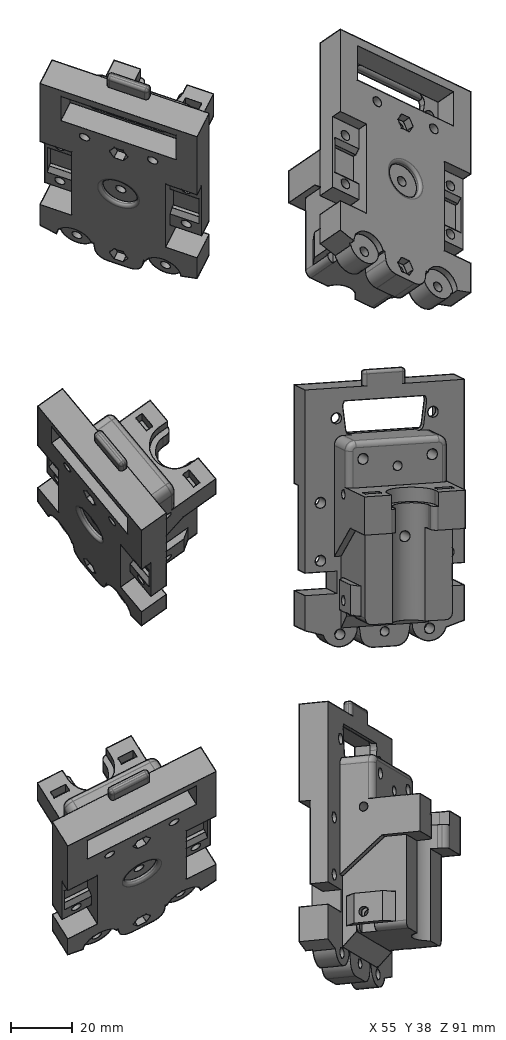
import cadquery as cq
import math


plate_width = 55.0
plate_thick = 10.1
plate_top = 86.0
half_plate = plate_width / 2
spine_half = 16.5
notch_low, notch_high = 18.5, 25.8
wing_top = 53.6
wing_front = 3.8

foot_z = 6.9
foot_slope = math.radians(16.5)
ear_x = 15.5
ear_radius = 6.0
lobe_top_half, lobe_bottom_half = 8.7, 7.7
lobe_radius = 4.55
ear_hole_z = 5.0
ear_hole = 3.5
ear_recess_radius = 6.3
ear_recess_depth = 2.3

tab_width, tab_thick, tab_height = 14.6, 3.0, 5.0
tab_round = 1.1

pocket_width = 40.3
pocket_low, pocket_high = 69.25, 82.7
pocket_depth = 7.7
opening_low = 70.25
opening_low_half, opening_high_half = 13.2, 14.8
opening_low_round, opening_high_round = 2.0, 2.9
lip_round = 1.2
screw_hole = 3.55
connector_screw_x, connector_screw_z = 16.65, 76.0

dish_z = 39.4
dish_radius, dish_depth, dish_round = 6.2, 1.9, 1.1

upper_screw_x, upper_screw_z = 11.9, 64.4
wing_screw_x = 22.1
wing_screw_heights = (29.6, 48.6)
hex_flats, hex_depth, hex_hole = 5.55, 3.0, 3.1
hex_heights = (ear_hole_z, 61.4)

wing_pocket_x = 26.5
wing_pocket_low, wing_pocket_high = 32.0, 45.9
wing_pocket_slope, wing_pocket_depth = 1.55, 2.7

block_half = 17.4
box_back = 22.0
box_top = opening_low
box_top_round, box_back_round = 3.1, 2.0
clamp_back = 38.0
clamp_low, clamp_top = 42.5, 55.1
brace_z, brace_y = 30.7, 24.8

cradle_y = 34.6
cradle_radius, seat_radius = 6.1, 8.1
seat_depth = 4.7
cradle_round = 1.9
tie_slot_x, tie_slot_y = 12.5, 31.85
tie_slot_width, tie_slot_thick, tie_slot_depth = 5.6, 2.55, 5.5

body_half, body_back, body_low = 15.0, 32.3, 11.8
body_round = 2.2
body_front_low = 15.0
brace_low = 7.1
pad_front, pad_back, pad_slope = 11.5, 28.6, 3.55
pad_low, pad_high = body_low + body_round, 23.9

side_hole_y = 18.4
side_hole_depth = 7.3
clamp_hole_z, clamp_hole = 52.5, 3.0
pad_hole_z, pad_hole = 17.65, 3.2
nut_slot_y, nut_slot_width, nut_slot_thick = 18.6, 5.3, 2.55
nut_slot_inner = body_half - body_round
nut_slot_top = pad_hole_z + nut_slot_width / 2


def block(x0, x1, y0, y1, z0, z1):
    return cq.Workplane("XY").box(x1 - x0, y1 - y0, z1 - z0, centered=False).translate((x0, y0, z0))


def both_sides(shape):
    """The shape together with its mirror image across X = 0."""
    return shape.union(shape.mirror("YZ"))


def front_sketch(y=0.0):
    """A sketch plane facing +Y, with X to the right and Z up."""
    return cq.Workplane("XZ", origin=(0, y, 0))


def along_y(sketch, depth):
    """Extrude a front sketch towards +Y."""
    return sketch.extrude(-depth)


def y_hole(x, z, diameter, y=0.0, depth=clamp_back):
    return along_y(front_sketch(y).center(x, z).circle(diameter / 2), depth)


def side_profile(points, half_width):
    """Extrude a Y-Z outline symmetrically about X = 0."""
    return cq.Workplane("YZ").polyline(points).close().extrude(half_width, both=True)


def make_plate():
    plate = block(-half_plate, half_plate, 0, plate_thick, foot_z, plate_top)

    wing_gap = both_sides(block(spine_half, half_plate, 0, wing_front, notch_high, wing_top))
    open_notch = both_sides(block(spine_half, half_plate, 0, plate_thick, notch_low, notch_high))
    plate = plate.cut(wing_gap).cut(open_notch)

    ear = y_hole(ear_x, foot_z, 2 * ear_radius, depth=plate_thick)
    slope_run = half_plate - ear_x
    shoulder = along_y(
        front_sketch()
        .moveTo(half_plate, foot_z)
        .lineTo(ear_x, foot_z)
        .lineTo(ear_x, foot_z - slope_run * math.tan(foot_slope))
        .close(),
        plate_thick,
    )
    lobe = along_y(
        front_sketch()
        .polyline(
            [
                (-lobe_bottom_half, 0),
                (lobe_bottom_half, 0),
                (lobe_top_half, foot_z),
                (-lobe_top_half, foot_z),
            ]
        )
        .close(),
        plate_thick,
    )
    lobe = lobe.edges("|Y and <Z").fillet(lobe_radius)
    return plate.union(both_sides(ear)).union(both_sides(shoulder)).union(lobe)


def make_tab():
    tab = block(-tab_width / 2, tab_width / 2, plate_thick - tab_thick, plate_thick,
                plate_top, plate_top + tab_height)
    return tab.edges("|Z or >Z").fillet(tab_round)


def make_box():
    box = block(-block_half, block_half, plate_thick, box_back, clamp_top, box_top)
    box = box.edges("|Y and >Z").fillet(box_top_round)
    return box.faces(">Y").edges("not <Z").fillet(box_back_round)


def make_clamp():
    return side_profile(
        [
            (plate_thick, brace_z),
            (brace_y, clamp_low),
            (clamp_back, clamp_low),
            (clamp_back, clamp_top),
            (plate_thick, clamp_top),
        ],
        block_half,
    )


def make_lower_body():
    body = block(-body_half, body_half, plate_thick, body_back, body_low, clamp_low)
    body = body.edges("|Y and <Z").fillet(body_round)
    foot_brace = side_profile(
        [
            (plate_thick, brace_low),
            (body_front_low, body_low),
            (body_front_low, clamp_low),
            (plate_thick, clamp_low),
        ],
        body_half,
    )
    pad = (
        cq.Workplane("XY", origin=(0, 0, pad_low))
        .polyline(
            [
                (body_half, pad_front),
                (block_half, pad_front + pad_slope),
                (block_half, pad_back - pad_slope),
                (body_half, pad_back),
            ]
        )
        .close()
        .extrude(pad_high - pad_low)
    )
    return body.union(foot_brace).union(both_sides(pad))


def connector_opening():
    pocket = block(-pocket_width / 2, pocket_width / 2, 0, pocket_depth, pocket_low, pocket_high)
    opening = along_y(
        front_sketch(pocket_depth)
        .polyline(
            [
                (-opening_low_half, opening_low),
                (opening_low_half, opening_low),
                (opening_high_half, pocket_high),
                (-opening_high_half, pocket_high),
            ]
        )
        .close(),
        plate_thick - pocket_depth,
    )
    opening = opening.edges("|Y and <Z").fillet(opening_low_round)
    opening = opening.edges("|Y and >Z").fillet(opening_high_round)
    lip_reach = lip_round * math.sqrt(0.5)
    lip = (
        cq.Workplane("YZ")
        .moveTo(pocket_depth, pocket_high)
        .threePointArc(
            (pocket_depth + lip_round - lip_reach, pocket_high - lip_reach),
            (pocket_depth + lip_round, pocket_high - lip_round),
        )
        .lineTo(plate_thick, pocket_high - lip_round)
        .lineTo(plate_thick, pocket_high)
        .close()
        .extrude(opening_high_half, both=True)
    )
    screws = both_sides(y_hole(connector_screw_x, connector_screw_z, screw_hole, depth=plate_thick))
    return pocket.union(opening.cut(lip)).union(screws)


def dish():
    recess = y_hole(0, dish_z, 2 * dish_radius, depth=dish_depth)
    rim = y_hole(0, dish_z, 2 * (dish_radius + dish_round), depth=dish_round)
    ring = (
        cq.Workplane("XY", origin=(0, 0, dish_z))
        .center(dish_radius + dish_round, dish_round)
        .circle(dish_round)
        .revolve(360, (-dish_radius - dish_round, 0), (-dish_radius - dish_round, 1))
    )
    return recess.union(rim.cut(ring)).union(y_hole(0, dish_z, screw_hole))


def nut_hole(z):
    pocket = along_y(
        front_sketch().center(0, z).polygon(6, hex_flats / math.cos(math.pi / 6)), hex_depth
    )
    return pocket.union(y_hole(0, z, hex_hole))


def wing_pocket():
    floor = wing_front + wing_pocket_depth
    slope_end = wing_front + wing_pocket_slope
    profile = [
        (wing_front, wing_pocket_low),
        (slope_end, wing_pocket_low + wing_pocket_slope),
        (floor, wing_pocket_low + wing_pocket_slope),
        (floor, wing_pocket_high - wing_pocket_slope),
        (slope_end, wing_pocket_high - wing_pocket_slope),
        (wing_front, wing_pocket_high),
    ]
    pocket = (
        cq.Workplane("YZ", origin=(spine_half, 0, 0))
        .polyline(profile)
        .close()
        .extrude(wing_pocket_x - spine_half)
    )
    return both_sides(pocket)


def u_channel(radius, z0, z1):
    """A round-bottomed channel open towards +Y."""
    round_part = cq.Workplane("XY", origin=(0, cradle_y, z0)).circle(radius).extrude(z1 - z0)
    return round_part.union(block(-radius, radius, cradle_y, clamp_back, z0, z1))


def cradle():
    seat_floor = clamp_top - seat_depth
    channel = u_channel(cradle_radius, body_low, seat_floor)
    lip_y = clamp_back - cradle_round
    lip_x = cradle_radius + cradle_round
    corner = block(cradle_radius, lip_x, lip_y, clamp_back, clamp_low, seat_floor)
    rounding = (
        cq.Workplane("XY", origin=(lip_x, lip_y, clamp_low))
        .circle(cradle_round)
        .extrude(seat_floor - clamp_low)
    )
    mouth = both_sides(corner.cut(rounding))
    return channel.union(mouth).union(u_channel(seat_radius, seat_floor, clamp_top))


def tie_slots():
    slot = (
        cq.Workplane("XY", origin=(tie_slot_x, tie_slot_y, clamp_top))
        .rect(tie_slot_width, tie_slot_thick)
        .extrude(-tie_slot_depth)
    )
    return both_sides(slot)


def side_screw(z, diameter):
    hole = (
        cq.Workplane("YZ", origin=(block_half, side_hole_y, z))
        .circle(diameter / 2)
        .extrude(-side_hole_depth)
    )
    return both_sides(hole)


def nut_slots():
    slot = block(
        nut_slot_inner,
        nut_slot_inner + nut_slot_thick,
        nut_slot_y - nut_slot_width / 2,
        nut_slot_y + nut_slot_width / 2,
        body_low,
        nut_slot_top,
    )
    return both_sides(slot)


result = make_plate().union(make_tab()).union(make_box()).union(make_clamp()).union(make_lower_body())

result = result.cut(connector_opening()).cut(dish()).cut(wing_pocket())
for hex_z in hex_heights:
    result = result.cut(nut_hole(hex_z))
result = result.cut(both_sides(y_hole(upper_screw_x, upper_screw_z, screw_hole)))
for screw_z in wing_screw_heights:
    result = result.cut(both_sides(y_hole(wing_screw_x, screw_z, screw_hole, depth=plate_thick)))
result = result.cut(both_sides(y_hole(ear_x, ear_hole_z, ear_hole, depth=plate_thick)))
result = result.cut(both_sides(y_hole(ear_x, ear_hole_z, 2 * ear_recess_radius, depth=ear_recess_depth)))

result = result.cut(cradle()).cut(tie_slots()).cut(nut_slots())
result = result.cut(side_screw(clamp_hole_z, clamp_hole)).cut(side_screw(pad_hole_z, pad_hole))